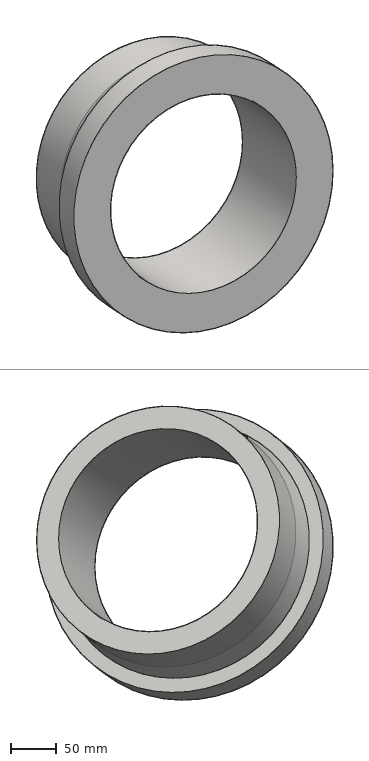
import cadquery as cq

total_length = 128.0
flange_diameter = 320.0
flange_thickness = 35.2
spigot_diameter = 280.0
spigot_length = 58.0
taper_end_diameter = 288.0
bore_diameter = 229.0

spigot_face_x = -total_length / 2
taper_start_x = spigot_face_x + spigot_length
flange_face_x = total_length / 2
flange_back_x = flange_face_x - flange_thickness

half_section = (
    cq.Workplane("XY")
    .moveTo(spigot_face_x, bore_diameter / 2)
    .lineTo(spigot_face_x, spigot_diameter / 2)
    .lineTo(taper_start_x, spigot_diameter / 2)
    .lineTo(flange_back_x, taper_end_diameter / 2)
    .lineTo(flange_back_x, flange_diameter / 2)
    .lineTo(flange_face_x, flange_diameter / 2)
    .lineTo(flange_face_x, bore_diameter / 2)
    .close()
)

result = half_section.revolve(360, (0, 0, 0), (1, 0, 0))